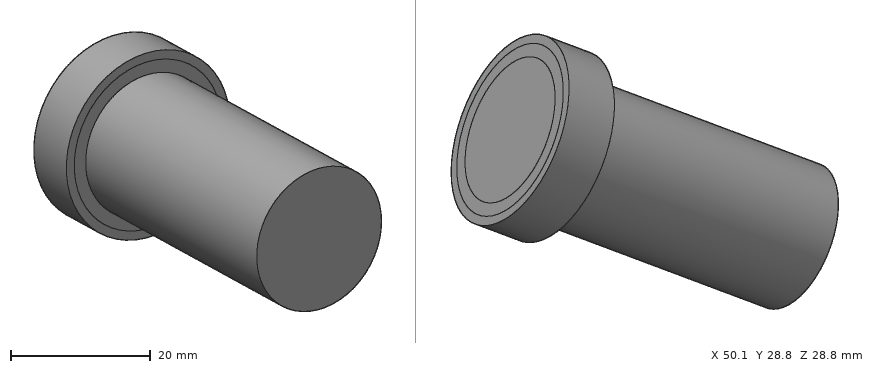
import cadquery as cq

length = 50.1
head_length = 8.0
head_diameter = 28.8
sleeve_diameter = 26.0
pin_diameter = 22.0


def cylinder(diameter, depth):
    """Solid cylinder along +X, starting on the head face at X = 0."""
    return cq.Workplane("YZ").circle(diameter / 2).extrude(depth)


def ring(outer_diameter, inner_diameter, depth):
    """Ring along +X, starting on the head face at X = 0."""
    return (
        cq.Workplane("YZ")
        .circle(outer_diameter / 2)
        .circle(inner_diameter / 2)
        .extrude(depth)
    )


pin = cylinder(pin_diameter, length)

sleeve = ring(sleeve_diameter, pin_diameter, head_length)

collar = ring(head_diameter, sleeve_diameter, head_length)

result = cq.Compound.makeCompound([pin.val(), sleeve.val(), collar.val()])